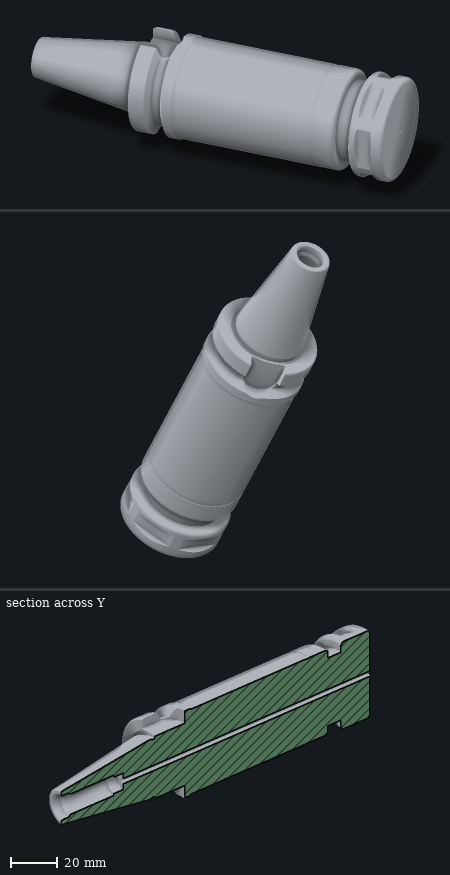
import cadquery as cq

LENGTH = 168.4
NUT_DIA = 46.3

SELECT_MARGIN = 0.02

TAPER = 7 / 24
GAUGE_DIA = 31.8
TAPER_END = 48.3
TIP_DIA = GAUGE_DIA - TAPER * TAPER_END
TIP_FILLET = 1.0

NECK_STEP_DIA = 31.3
NECK_STEP = 49.3
UNDERCUT_DIA = 30.6
UNDERCUT_START = 49.8
RECESS_DEPTH = 0.7
RECESS_FLOOR_DIA = 33.3
RECESS_MOUTH_DIA = 34.9

FLANGE_DIA = 46.0
FLANGE_START = 50.4
FLANGE_FILLET = 1.0
FLANGE_LAND_END = 58.0
GROOVE_DIA = 37.9
GROOVE_START = 60.3
GROOVE_END = 63.8
COLLAR_START = 66.2
COLLAR_END = 70.2

BODY_DIA = 45.0
BODY_START = 71.0
BODY_END = 145.5
EDGE_FILLET = 2.0

RELIEF_START = 133.0
RELIEF_END = 135.2
RELIEF_DIA = 44.5

NECK_DIA = 36.0
NUT_START = 152.4
FLAT_COUNT = 6
FLAT_DISTANCE = 21.0
FLAT_START = 156.3
FLAT_END = 162.5
FLAT_FLARE = 1.0

SLOT_WIDTH = 15.7
SLOT_FLOOR = 16.5
SLOT_END = 67.2

MOUTH_DIA = 13.8
PILOT_DIA = 12.5
PILOT_DEPTH = 4.2
SHOULDER_DIA = 12.0
SHOULDER_END = 5.4
THREAD_DIA = 10.5
THREAD_DEPTH = 28.6
BOTTOM_DIA = 8.5
BOTTOM_DEPTH = 33.7
COOLANT_DIA = 2.5


def revolve_profile(points):
    """Turn (x, diameter) points into a solid about the X axis."""
    outline = [(x, diameter / 2) for x, diameter in points]
    axis_ends = [(points[0][0], 0), (points[-1][0], 0)]
    closed = [axis_ends[0]] + outline + [axis_ends[1]]
    return cq.Workplane("XY").polyline(closed).close().revolve(360, (0, 0, 0), (1, 0, 0))


def fillet_rim(solid, x, diameter, radius):
    """Round the circular edge of a given diameter at station x."""
    rim = cq.selectors.RadiusNthSelector(-1)
    reach = diameter / 2 + SELECT_MARGIN
    slab = cq.selectors.BoxSelector(
        (x - SELECT_MARGIN, -reach, -reach), (x + SELECT_MARGIN, reach, reach), boundingbox=True
    )
    return solid.edges(slab).edges(rim).fillet(radius)


def turned_blank():
    blank = revolve_profile([
        (0, TIP_DIA),
        (TAPER_END, GAUGE_DIA),
        (NECK_STEP, NECK_STEP_DIA),
        (UNDERCUT_START, UNDERCUT_DIA),
        (FLANGE_START + RECESS_DEPTH, UNDERCUT_DIA),
        (FLANGE_START + RECESS_DEPTH, RECESS_FLOOR_DIA),
        (FLANGE_START, RECESS_MOUTH_DIA),
        (FLANGE_START, FLANGE_DIA),
        (FLANGE_LAND_END, FLANGE_DIA),
        (GROOVE_START, GROOVE_DIA),
        (GROOVE_END, GROOVE_DIA),
        (COLLAR_START, FLANGE_DIA),
        (COLLAR_END, FLANGE_DIA),
        (BODY_START, BODY_DIA),
        (RELIEF_START, BODY_DIA),
        (RELIEF_END, RELIEF_DIA),
        (RELIEF_END, BODY_DIA),
        (BODY_END, BODY_DIA),
        (BODY_END, NECK_DIA),
        (NUT_START, NECK_DIA),
        (NUT_START, NUT_DIA),
        (LENGTH, NUT_DIA),
    ])
    blank = fillet_rim(blank, 0, TIP_DIA, TIP_FILLET)
    blank = fillet_rim(blank, FLANGE_START, FLANGE_DIA, FLANGE_FILLET)
    blank = fillet_rim(blank, BODY_END, BODY_DIA, EDGE_FILLET)
    blank = fillet_rim(blank, NUT_START, NUT_DIA, EDGE_FILLET)
    return fillet_rim(blank, LENGTH, NUT_DIA, EDGE_FILLET)


def bore():
    mouth_chamfer = (MOUTH_DIA - PILOT_DIA) / 2
    return revolve_profile([
        (0, MOUTH_DIA),
        (mouth_chamfer, PILOT_DIA),
        (PILOT_DEPTH, PILOT_DIA),
        (PILOT_DEPTH, SHOULDER_DIA),
        (SHOULDER_END, THREAD_DIA),
        (THREAD_DEPTH, THREAD_DIA),
        (THREAD_DEPTH, BOTTOM_DIA),
        (BOTTOM_DEPTH, BOTTOM_DIA),
        (BOTTOM_DEPTH, COOLANT_DIA),
        (LENGTH, COOLANT_DIA),
    ])


def drive_slot():
    """Round-ended slot on the +Z side, open toward the taper."""
    radius = SLOT_WIDTH / 2
    center = SLOT_END - radius
    return (
        cq.Workplane("XY", origin=(0, 0, SLOT_FLOOR))
        .moveTo(NECK_STEP, -radius)
        .lineTo(center, -radius)
        .threePointArc((SLOT_END, 0), (center, radius))
        .lineTo(NECK_STEP, radius)
        .close()
        .extrude(NUT_DIA / 2)
    )


def wrench_flat():
    """Cutter for one nut flat on the +Y side, with end walls flaring outward."""
    depth = NUT_DIA / 2 - FLAT_DISTANCE
    outline = [
        (FLAT_START, FLAT_DISTANCE),
        (FLAT_START - FLAT_FLARE, FLAT_DISTANCE + depth),
        (FLAT_END + FLAT_FLARE, FLAT_DISTANCE + depth),
        (FLAT_END, FLAT_DISTANCE),
    ]
    return cq.Workplane("XY").polyline(outline).close().extrude(NUT_DIA / 2, both=True)


result = turned_blank().cut(bore())

slot = drive_slot()
for angle in (0, 180):
    result = result.cut(slot.rotate((0, 0, 0), (1, 0, 0), angle))

flat = wrench_flat()
for index in range(FLAT_COUNT):
    result = result.cut(flat.rotate((0, 0, 0), (1, 0, 0), index * 360 / FLAT_COUNT))